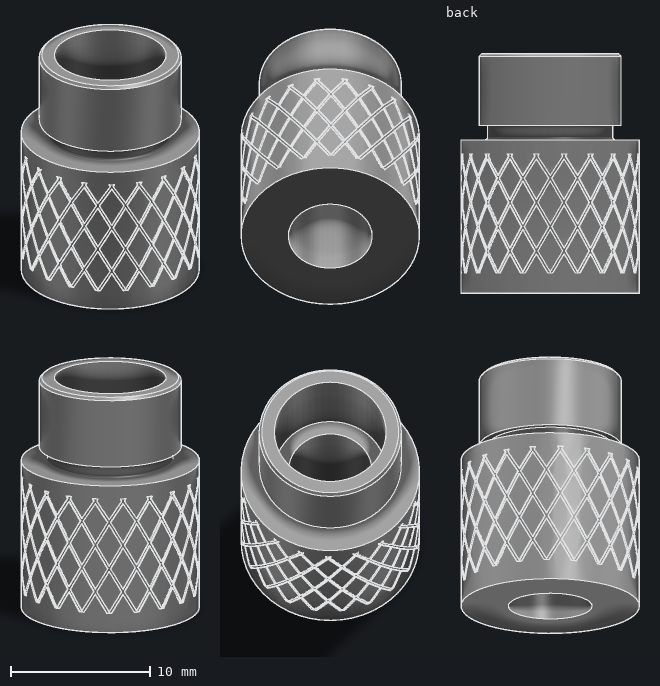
import cadquery as cq
import math

total_height = 17.19
body_diameter = 12.8
body_height = 11.0
bore_diameter = 6.0

collar_diameter = 10.2
collar_height = 5.16
collar_chamfer = 0.2
neck_diameter = 9.0
neck_fillet = 0.2
counterbore_diameter = 8.0
counterbore_depth = total_height - body_height

groove_floor_diameter = 12.6
groove_width = 0.2
groove_angle = 30.0
grooves_per_direction = 20
knurl_top = 10.0
knurl_bottom = 1.45
top_crossing_drop = 0.18
bottom_crossing_lift = 0.05

body_radius = body_diameter / 2
collar_bottom = total_height - collar_height
groove_depth = (body_diameter - groove_floor_diameter) / 2
groove_spacing = 360 / grooves_per_direction
groove_slope = math.radians(groove_angle)
diamond_half_pitch = math.radians(groove_spacing) * body_radius / 2
diamond_half_width = diamond_half_pitch - groove_width / 2 / math.cos(groove_slope)
crossing_pitch = diamond_half_pitch / math.tan(groove_slope)
last_level = math.ceil((knurl_top - knurl_bottom) / crossing_pitch)
diamond_root_depth = 4 * groove_depth
groove_tip_gap = groove_width / 2 / math.sin(groove_slope)


def make_turned_blank():
    """Body, neck and collar revolved as one outline, still without bores."""
    neck_radius = neck_diameter / 2
    collar_radius = collar_diameter / 2
    fillet_mid = neck_fillet * (1 - math.sqrt(0.5))
    return (
        cq.Workplane("XZ")
        .lineTo(body_radius, 0)
        .lineTo(body_radius, body_height)
        .lineTo(neck_radius + neck_fillet, body_height)
        .threePointArc(
            (neck_radius + fillet_mid, body_height + fillet_mid),
            (neck_radius, body_height + neck_fillet),
        )
        .lineTo(neck_radius, collar_bottom)
        .lineTo(collar_radius, collar_bottom)
        .lineTo(collar_radius, total_height - collar_chamfer)
        .lineTo(collar_radius - collar_chamfer, total_height)
        .lineTo(0, total_height)
        .close()
        .revolve(360, (0, 0, 0), (0, 1, 0))
    )


def crossing_height(level):
    """Height at which the grooves cross, counting levels down from the top of the knurl.

    The grooves flatten a little towards their ends, which draws the end levels inwards.
    """
    height = knurl_top - level * crossing_pitch
    if level == 0:
        height -= top_crossing_drop
    if level == last_level:
        height += bottom_crossing_lift
    return height


def make_diamond(level):
    """Diamond prism towards -Y whose side corners point at the groove crossings of this level."""
    middle = crossing_height(level)
    upper_tip = crossing_height(level - 1) - groove_tip_gap
    lower_tip = crossing_height(level + 1) + groove_tip_gap
    return (
        cq.Workplane("XZ", origin=(0, -(body_radius - diamond_root_depth), 0))
        .moveTo(diamond_half_width, middle)
        .lineTo(0, upper_tip)
        .lineTo(-diamond_half_width, middle)
        .lineTo(0, lower_tip)
        .close()
        .extrude(2 * diamond_root_depth)
        .val()
    )


def cut_knurl(blank):
    """Cut the net of grooves: a thin sleeve over the knurl band without its diamonds."""
    sleeve = (
        cq.Workplane("XY", origin=(0, 0, knurl_bottom))
        .circle(body_radius + groove_depth)
        .circle(body_radius - groove_depth)
        .extrude(knurl_top - knurl_bottom)
    )
    diamonds = []
    for level in range(last_level + 1):
        diamond = make_diamond(level)
        stagger = (level % 2) * groove_spacing / 2
        for i in range(grooves_per_direction):
            angle = stagger + i * groove_spacing
            diamonds.append(diamond.rotate(cq.Vector(), cq.Vector(0, 0, 1), angle))
    groove_net = sleeve.val().cut(*diamonds)
    return cq.Workplane(blank.val().cut(groove_net)).solids()


def cut_bores(blank):
    return (
        blank.faces(">Z")
        .workplane()
        .cboreHole(bore_diameter, counterbore_diameter, counterbore_depth)
    )


result = cut_knurl(cut_bores(make_turned_blank()))